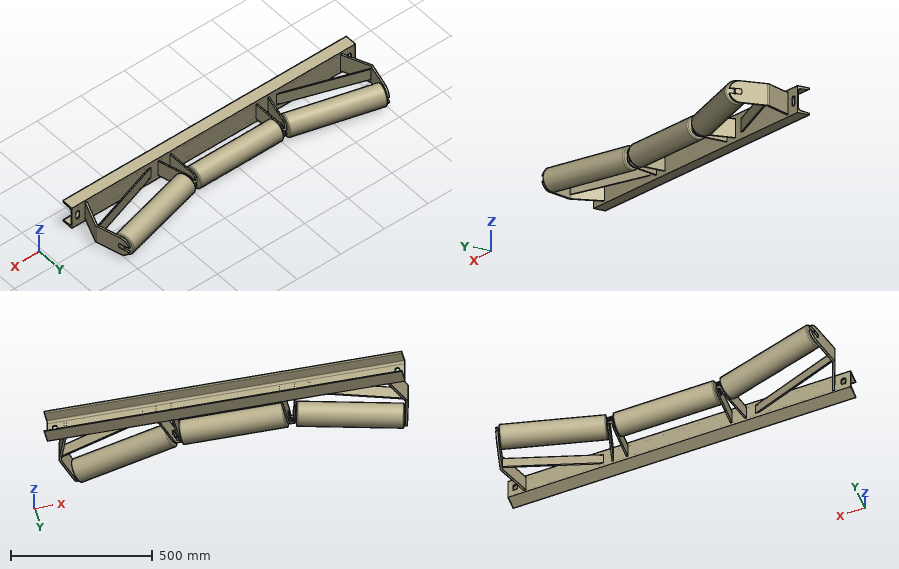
import cadquery as cq
import math


BEAM_LENGTH = 1300.0
BEAM_HEIGHT = 100.0
BEAM_DEPTH = 51.0
WEB_THICKNESS = 4.5
FLANGE_THICKNESS = 8.5
FLANGE_TAPER = 0.08
ROOT_RADIUS = 8.5
TOE_RADIUS = 4.5
MOUNT_SLOT_INSET = 27.0
MOUNT_SLOT_LENGTH = 36.0
MOUNT_SLOT_WIDTH = 17.0

ROLLER_DIAMETER = 90.0
ROLLER_LENGTH = 380.0
ROLLER_EDGE_RADIUS = 4.0
SHAFT_DIAMETER = 26.0
SHAFT_FLATS = 20.0
TROUGH_ANGLE = 15.0
CENTRE_AXIS_Y = 166.0
SIDE_ROLLER_X = 411.0
SIDE_ROLLER_Y = 220.0

END_GAP = 4.5
INNER_WIDTH = 70.0
OUTER_WIDTH = 80.0
INNER_STRIP = 6.0
OUTER_STRIP = 8.0
BRACE_STRIP = 5.0
BRACE_WIDTH = 51.0
INNER_BEND_RADIUS = 8.5
OUTER_BEND_RADIUS = 9.0
OUTER_BEND_Y = 164.0
OUTER_FOOT_X = 585.0
OUTER_TIP_DROP = 5.8
BRACE_FOOT_X = 296.0

LEG_FACE = ROLLER_LENGTH / 2 + END_GAP
SHAFT_LENGTH = 2 * (LEG_FACE + OUTER_STRIP)
INNER_LEG_OFFSET = LEG_FACE + INNER_STRIP / 2
OUTER_LEG_OFFSET = LEG_FACE + OUTER_STRIP / 2
SIN = math.sin(math.radians(TROUGH_ANGLE))
COS = math.cos(math.radians(TROUGH_ANGLE))
CLEARANCE = 260.0


def side_place(body):
    """Move a body from the roller's own frame to the right-hand side roller."""
    return body.rotate((0, 0, 0), (0, 0, 1), TROUGH_ANGLE).translate((SIDE_ROLLER_X, SIDE_ROLLER_Y, 0))


def side_point(along, across):
    """XY position of a point given along and across the right-hand roller axis."""
    return (SIDE_ROLLER_X + along * COS - across * SIN, SIDE_ROLLER_Y + along * SIN + across * COS)


def leg_point_at(offset, y):
    """Point at height y on a leg that stands square to the side roller axis."""
    across = (y - SIDE_ROLLER_Y - offset * SIN) / COS
    return side_point(offset, across)


OUTER_BEND = leg_point_at(OUTER_LEG_OFFSET, OUTER_BEND_Y)


def unit(start, end):
    """Direction from one point to another, with length 1."""
    length = math.dist(start, end)
    return ((end[0] - start[0]) / length, (end[1] - start[1]) / length)


def bent_strip(start, corner, end, width, thickness, bend_radius):
    """Flat bar bent once at a corner; the path is the middle of the strip."""
    half = thickness / 2
    first = unit(start, corner)
    second = unit(corner, end)
    miter = half / (1 + first[0] * second[0] + first[1] * second[1])
    corner_offset = (-(first[1] + second[1]) * miter, (first[0] + second[0]) * miter)

    def side(sign):
        """One long edge of the bar, to the left (1) or right (-1) of the path."""
        return [
            (start[0] - sign * first[1] * half, start[1] + sign * first[0] * half),
            (corner[0] + sign * corner_offset[0], corner[1] + sign * corner_offset[1]),
            (end[0] - sign * second[1] * half, end[1] + sign * second[0] * half),
        ]

    left = side(1)
    right = side(-1)
    bar = cq.Workplane("XY").polyline(left + right[::-1]).close().extrude(width / 2, both=True)
    turn = first[0] * second[1] - first[1] * second[0]
    inside, outside = (left, right) if turn > 0 else (right, left)
    bar = bar.edges(cq.NearestToPointSelector((*inside[1], 0))).fillet(bend_radius - half)
    return bar.edges(cq.NearestToPointSelector((*outside[1], 0))).fillet(bend_radius + half)


def trim_at_beam(body):
    """Cut a strip off flush with the back of the beam web."""
    below = cq.Workplane("XY").box(BEAM_LENGTH, CLEARANCE, CLEARANCE)
    return body.cut(below.translate((0, BEAM_DEPTH - CLEARANCE / 2, 0)))


def along_to_y(start, end, y):
    """Point at height y on the line through two points."""
    share = (y - start[1]) / (end[1] - start[1])
    return (start[0] + share * (end[0] - start[0]), y)


def make_beam():
    """Channel with its open side toward -Y and an upright mounting slot near each end."""
    half = BEAM_HEIGHT / 2
    toe_z = half - FLANGE_THICKNESS + FLANGE_TAPER * BEAM_DEPTH / 2
    root_z = toe_z - FLANGE_TAPER * (BEAM_DEPTH - WEB_THICKNESS)
    web_y = BEAM_DEPTH - WEB_THICKNESS
    outline = [
        (BEAM_DEPTH, -half), (0, -half), (0, -toe_z), (web_y, -root_z),
        (web_y, root_z), (0, toe_z), (0, half), (BEAM_DEPTH, half),
    ]
    beam = cq.Workplane("YZ").polyline(outline).close().extrude(BEAM_LENGTH / 2, both=True)
    for z in (-1, 1):
        beam = beam.edges(cq.NearestToPointSelector((0, web_y, z * root_z))).fillet(ROOT_RADIUS)
        beam = beam.edges(cq.NearestToPointSelector((0, 0, z * toe_z))).fillet(TOE_RADIUS)
    slot_x = BEAM_LENGTH / 2 - MOUNT_SLOT_INSET
    slots = (
        cq.Workplane("XZ")
        .pushPoints([(-slot_x, 0), (slot_x, 0)])
        .slot2D(MOUNT_SLOT_LENGTH, MOUNT_SLOT_WIDTH, 90)
        .extrude(-CLEARANCE)
    )
    return beam.cut(slots)


def shaft_bar():
    """Round bar along X with flats facing +Z and -Z."""
    bar = cq.Workplane("YZ").circle(SHAFT_DIAMETER / 2).extrude(SHAFT_LENGTH / 2, both=True)
    return bar.intersect(cq.Workplane("XY").box(SHAFT_LENGTH, SHAFT_DIAMETER, SHAFT_FLATS))


def make_roller():
    """Roller on the X axis, with the flatted ends of its shaft standing out."""
    shell = cq.Workplane("XY").circle(ROLLER_DIAMETER / 2).extrude(ROLLER_LENGTH)
    shell = shell.faces("|Z").edges().fillet(ROLLER_EDGE_RADIUS)
    shell = shell.translate((0, 0, -ROLLER_LENGTH / 2)).rotate((0, 0, 0), (0, 1, 0), 90)
    return shell.union(shaft_bar())


def shaft_slots():
    """Tool for the open slots that hold a shaft at both ends, in the roller's own frame."""
    opening = cq.Workplane("XY").box(SHAFT_LENGTH, CLEARANCE, SHAFT_FLATS)
    opening = opening.translate((0, CLEARANCE / 2, 0))
    between_legs = cq.Workplane("XY").box(ROLLER_LENGTH, 2 * CLEARANCE, CLEARANCE)
    return shaft_bar().union(opening).cut(between_legs)


def tip_trimmer(width):
    """Tool that rounds the upper end of a strip about the X axis."""
    above = cq.Workplane("XY").box(2 * CLEARANCE, CLEARANCE, CLEARANCE)
    above = above.translate((0, CLEARANCE / 2, 0))
    disc = cq.Workplane("YZ").circle(width / 2).extrude(CLEARANCE, both=True)
    return above.cut(disc)


def make_inner_bracket():
    """Inverted V with a round top, between the centre roller and the right side roller."""
    low_y = BEAM_DEPTH - INNER_STRIP
    apex_across = (SIDE_ROLLER_X - INNER_LEG_OFFSET * (1 + COS)) / SIN
    bracket = bent_strip(
        (INNER_LEG_OFFSET, low_y),
        side_point(-INNER_LEG_OFFSET, apex_across),
        leg_point_at(-INNER_LEG_OFFSET, low_y),
        INNER_WIDTH,
        INNER_STRIP,
        INNER_BEND_RADIUS,
    )
    bracket = trim_at_beam(bracket).cut(tip_trimmer(INNER_WIDTH).translate((0, CENTRE_AXIS_Y, 0)))
    centre_slots = shaft_slots().translate((0, CENTRE_AXIS_Y, 0))
    return bracket.cut(centre_slots).cut(side_place(shaft_slots()))


def make_outer_bracket():
    """Bent strip that carries the outer end of the right side roller."""
    bracket = bent_strip(
        along_to_y((OUTER_FOOT_X, BEAM_DEPTH), OUTER_BEND, BEAM_DEPTH - OUTER_STRIP),
        OUTER_BEND,
        side_point(OUTER_LEG_OFFSET, OUTER_WIDTH / 2),
        OUTER_WIDTH,
        OUTER_STRIP,
        OUTER_BEND_RADIUS,
    )
    rounding = tip_trimmer(OUTER_WIDTH).translate((0, -OUTER_TIP_DROP, 0))
    return trim_at_beam(bracket).cut(side_place(rounding)).cut(side_place(shaft_slots()))


def make_brace(bracket):
    """Flat bar from the back of the beam to the bend of the right outer bracket."""
    foot = (BRACE_FOOT_X, BEAM_DEPTH)
    low_end = along_to_y(foot, OUTER_BEND, BEAM_DEPTH - BRACE_STRIP)
    length = math.dist(low_end, OUTER_BEND)
    angle = math.degrees(math.atan2(OUTER_BEND[1] - low_end[1], OUTER_BEND[0] - low_end[0]))
    bar = cq.Workplane("XY").box(length, BRACE_STRIP, BRACE_WIDTH, centered=(False, True, True))
    bar = bar.rotate((0, 0, 0), (0, 0, 1), angle).translate((*low_end, 0))
    return trim_at_beam(bar).cut(bracket)


beam = make_beam()
centre_roller = make_roller().translate((0, CENTRE_AXIS_Y, 0))
side_roller = side_place(make_roller())
inner_bracket = make_inner_bracket()
outer_bracket = make_outer_bracket()
brace = make_brace(outer_bracket)

solids = [beam.solids().val(), centre_roller.solids().val()]
for right_part in (side_roller, inner_bracket, outer_bracket, brace):
    right_solid = right_part.solids().val()
    solids.append(right_solid)
    solids.append(right_solid.mirror("YZ"))

result = cq.Compound.makeCompound(solids)